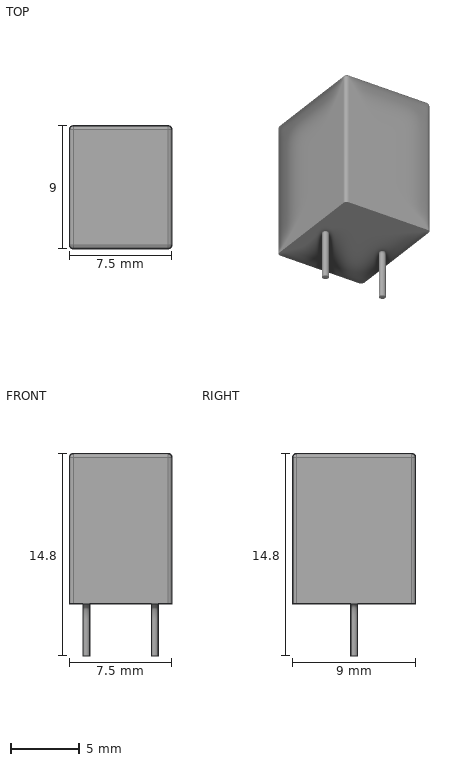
import cadquery as cq

case_width = 7.5
case_depth = 9.0
total_height = 14.8

lead_length = 3.8
lead_diameter = 0.5
lead_pitch = 5.0
edge_radius = 0.3
case_height = total_height - lead_length


def make_case():
    """Box standing on Z = 0, rounded on its upright and top edges; its bottom edges stay sharp."""
    box = cq.Workplane("XY").box(case_width, case_depth, case_height, centered=(True, True, False))
    return box.edges("|Z or >Z").fillet(edge_radius)


def make_lead(x):
    """Round wire hanging down from the underside of the case."""
    return cq.Workplane("XY").center(x, 0).circle(lead_diameter / 2).extrude(-lead_length)


case = make_case()
leads = [make_lead(side * lead_pitch / 2) for side in (-1, 1)]

result = cq.Compound.makeCompound([case.val(), *[lead.val() for lead in leads]])